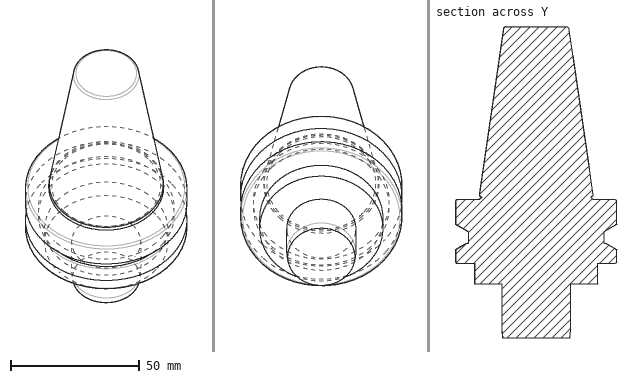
import cadquery as cq

total_length = 121.4
spigot_chamfer_height = 3.3
collar_bottom = 21.0
flange_bottom = 29.0
groove_lower_rim = 34.5
groove_ledge_level = 36.8
groove_floor_bottom = 37.0
groove_floor_top = 41.4
groove_upper_rim = 44.3
flange_top = 54.0
gauge_line = 56.0

spigot_radius = 27.0 / 2
collar_radius = 48.1 / 2
flange_radius = 63.0 / 2
groove_radius = 53.0 / 2
groove_ledge_radius = groove_radius + 1.0
taper_large_radius = 44.4 / 2

spigot_chamfer_width = 0.4
flange_rim_round = 0.8
relief_depth = 1.0
relief_height = 0.8
relief_flare = 0.2
taper_end_round = 1.0
taper_land_height = 0.6

match_tolerance = 0.01

taper_radius_slope = 7 / 24 / 2
taper_small_radius = taper_large_radius - (total_length - gauge_line) * taper_radius_slope
relief_radius = taper_large_radius - relief_depth
relief_level = flange_top + relief_height

half_section = [
    (0, 0),
    (spigot_radius - spigot_chamfer_width, 0),
    (spigot_radius, spigot_chamfer_height),
    (spigot_radius, collar_bottom),
    (collar_radius, collar_bottom),
    (collar_radius, flange_bottom),
    (flange_radius, flange_bottom),
    (flange_radius, groove_lower_rim),
    (groove_ledge_radius, groove_ledge_level),
    (groove_radius, groove_floor_bottom),
    (groove_radius, groove_floor_top),
    (flange_radius, groove_upper_rim),
    (flange_radius, flange_top),
    (taper_large_radius + relief_flare, flange_top),
    (relief_radius, relief_level),
    (taper_large_radius, gauge_line - taper_land_height),
    (taper_large_radius, gauge_line),
    (taper_small_radius, total_length),
    (0, total_length),
]

body = cq.Workplane("XZ").polyline(half_section).close().revolve(360, (0, 0, 0), (0, 1, 0))


def circular_rim(solid, radius, height):
    """Return the circular edge of the given radius at the given height."""
    for edge in solid.edges("%CIRCLE").vals():
        centre = edge.arcCenter()
        if abs(edge.radius() - radius) < match_tolerance and abs(centre.z - height) < match_tolerance:
            return edge


rounded_rims = [
    (flange_radius, flange_bottom, flange_rim_round),
    (flange_radius, flange_top, flange_rim_round),
    (taper_small_radius, total_length, taper_end_round),
]
for rim_radius, rim_height, round_radius in rounded_rims:
    rim = circular_rim(body, rim_radius, rim_height)
    body = body.newObject([body.val().fillet(round_radius, [rim])])

result = body